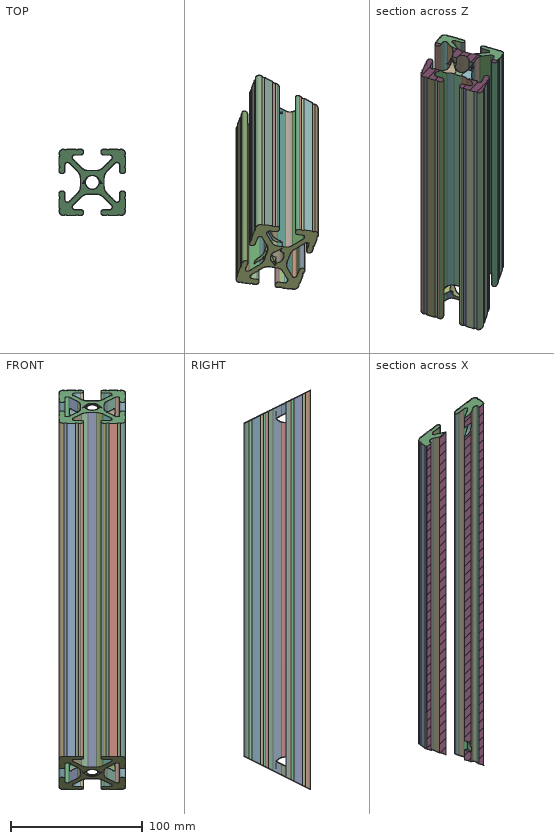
import cadquery as cq
import math

side = 50.8
length = 304.8
miter_angle = 26.5
bore_diameter = 10.41

corner_radius = 3.8
slot_opening = 13.1
lip_thickness = 4.6
slot_corner_radius = 1.9
core_half_width = 9.15
floor_flat = 6.6
floor_radius = 7.0
web_angle = 45.0
slot_count = 4

groove_positions = (11.7, 20.4)
groove_width = 2.2
groove_depth = 0.5

pocket_floor_y = -1.0
pocket_floor_radius = 8.6
pocket_mouth_y = 9.2
pocket_mouth_radius = 6.7
pocket_axis_depth = 18.0
seat_start = (-0.8, 21.5)
seat_run = 15.0
cross_bulge = (8.0, 24.4)
cross_half_length = 18.0

half = side / 2
half_length = length / 2


def floor_blend_point(angle):
    """Point on the +X floor blend of the +Y slot where its slope is the given angle."""
    turn = math.radians(angle)
    x = floor_flat / 2 + floor_radius * math.sin(turn)
    y = core_half_width + floor_radius * (1 - math.cos(turn))
    return x, y


def slot_cutter():
    """T-slot of the +Y face."""
    opening = slot_opening / 2
    lip_y = half - lip_thickness
    lip_radius = lip_thickness / 2
    mid_x, mid_y = floor_blend_point(web_angle / 2)
    blend_x, blend_y = floor_blend_point(web_angle)
    corner_x = blend_x + (lip_y - blend_y) / math.tan(math.radians(web_angle))
    body = (
        cq.Workplane("XY")
        .moveTo(-floor_flat / 2, core_half_width)
        .lineTo(floor_flat / 2, core_half_width)
        .threePointArc((mid_x, mid_y), (blend_x, blend_y))
        .lineTo(corner_x, lip_y)
        .lineTo(-corner_x, lip_y)
        .lineTo(-blend_x, blend_y)
        .threePointArc((-mid_x, mid_y), (-floor_flat / 2, core_half_width))
        .close()
        .extrude(length)
        .edges("|Z and (<X or >X)")
        .fillet(slot_corner_radius)
    )
    gap = (
        cq.Workplane("XY")
        .moveTo(-opening - lip_radius, lip_y)
        .lineTo(opening + lip_radius, lip_y)
        .threePointArc((opening, half - lip_radius), (opening + lip_radius, half))
        .lineTo(-opening - lip_radius, half)
        .threePointArc((-opening, half - lip_radius), (-opening - lip_radius, lip_y))
        .close()
        .extrude(length)
    )
    return body.union(gap)


def face_grooves():
    """Shallow round grooves along the +Y face."""
    half_groove = groove_width / 2
    grooves = cq.Workplane("XY")
    for position in groove_positions:
        for x in (-position, position):
            groove = (
                cq.Workplane("XY")
                .moveTo(x - half_groove, half)
                .threePointArc((x, half - groove_depth), (x + half_groove, half))
                .close()
                .extrude(length)
            )
            grooves = grooves.add(groove)
    return grooves.combine()


def extrusion():
    """Square bar with a T-slot and grooves on each side and a central bore, centred on Z."""
    bar = cq.Workplane("XY").rect(side, side).extrude(length).edges("|Z").fillet(corner_radius)
    slot = slot_cutter()
    grooves = face_grooves()
    for index in range(slot_count):
        turn = index * 360 / slot_count
        bar = bar.cut(slot.rotate((0, 0, 0), (0, 0, 1), turn))
        bar = bar.cut(grooves.rotate((0, 0, 0), (0, 0, 1), turn))
    bore = cq.Workplane("XY").circle(bore_diameter / 2).extrude(length)
    return bar.cut(bore).translate((0, 0, -half_length))


def miter_cutter():
    """Wedge above the top end face, which falls from +Y to -Y."""
    drop = side * math.tan(math.radians(miter_angle))
    return (
        cq.Workplane("YZ")
        .polyline([(half, half_length), (-half, half_length), (-half, half_length - drop)])
        .close()
        .extrude(half, both=True)
    )


def anchor_pocket():
    """Tapered round pocket along Y, from the core out into the +Y slot."""
    return (
        cq.Workplane("XZ", origin=(0, pocket_floor_y, half_length - pocket_axis_depth))
        .circle(pocket_floor_radius)
        .workplane(offset=pocket_floor_y - pocket_mouth_y)
        .circle(pocket_mouth_radius)
        .loft(combine=True)
    )


def cross_pocket():
    """Pocket along X with a flat seat parallel to the end face and a round side below it."""
    start_y, start_depth = seat_start
    bulge_y, bulge_depth = cross_bulge
    seat_rise = seat_run * math.tan(math.radians(miter_angle))
    return (
        cq.Workplane("YZ")
        .moveTo(start_y, half_length - start_depth)
        .lineTo(start_y + seat_run, half_length - start_depth + seat_rise)
        .threePointArc((bulge_y, half_length - bulge_depth), (start_y, half_length - start_depth))
        .close()
        .extrude(cross_half_length, both=True)
    )


result = extrusion()
end_cut = miter_cutter().union(anchor_pocket()).union(cross_pocket())
result = result.cut(end_cut).cut(end_cut.mirror("XY"))